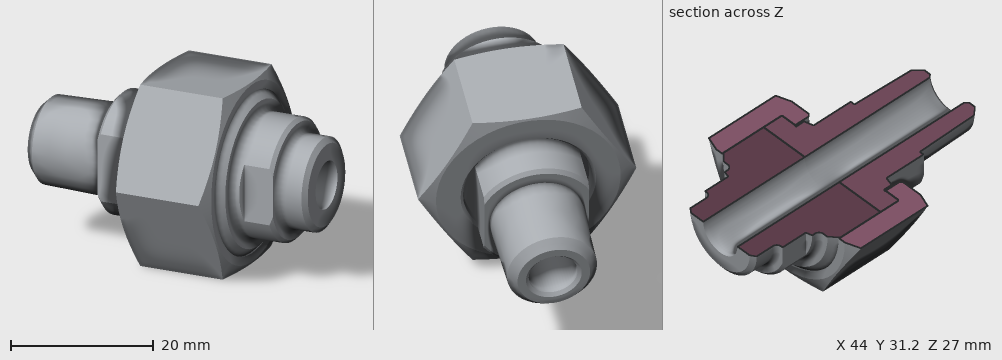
import cadquery as cq
import math


LENGTH = 44.0
BORE_RADIUS = 7.0 / 2
BORE_COUNTERSINK = 0.5
COLLAR_RADIUS = 18.0 / 2
COLLAR_CHAMFER = 0.55
FLAT_WALL_LEAN = 15.0
CUT_MARGIN = 0.45

NUT_START = 17.95
NUT_LENGTH = 14.5
NUT_END = NUT_START + NUT_LENGTH
NUT_ACROSS_FLATS = 27.0
NUT_ACROSS_CORNERS = NUT_ACROSS_FLATS / math.cos(math.radians(30))
NUT_FACE_RADIUS = 13.2
NUT_BEVEL_LENGTH = 0.85
NUT_HOLE_RADIUS = 18.5 / 2
NUT_HOLE_CHAMFER = 0.45
NUT_RECESS_RADIUS = 23.85 / 2
NUT_LIP = 3.1
LIP_END = NUT_START + NUT_LIP

TAPER_START = 1.28
TAPER_END = 11.95
TIP_RADIUS = 10.4 / 2
TAPER_START_RADIUS = 6.42
TAPER_END_RADIUS = 6.75
FLANGE_THICKNESS = 3.5
SEAT = LIP_END + FLANGE_THICKNESS
TAILPIECE_HALF_FLATS = 7.5
TAILPIECE_FLAT_END = 19.1

CONE_END = 33.45
CONE_END_RADIUS = 10.7
CONE_START = CONE_END - (NUT_RECESS_RADIUS - CONE_END_RADIUS)
BODY_COLLAR_END = 39.5
SPIGOT_RADIUS = 13.7 / 2
SHOULDER_FILLET = 0.8
SPIGOT_CHAMFER_LENGTH = 0.55
SPIGOT_CHAMFER_DEPTH = 0.85
BODY_HALF_FLATS = 7.95
BODY_FLAT_START = 35.05


def revolve_about_x(profile):
    """Revolve a closed XY profile, Y being the radius, about the X axis."""
    return profile.close().revolve(360, (0, 0, 0), (1, 0, 0))


def fillet_to_cylinder(profile, shoulder, radius):
    """Continue a profile down a shoulder and along a concave fillet onto a cylinder."""
    chord_offset = SHOULDER_FILLET * (1 - math.sqrt(0.5))
    return (
        profile.lineTo(shoulder, radius + SHOULDER_FILLET)
        .threePointArc(
            (shoulder + chord_offset, radius + chord_offset),
            (shoulder + SHOULDER_FILLET, radius),
        )
    )


def cut_wrench_flats(solid, half_flats, open_end, wall_foot):
    """Cut two flats facing +Y and -Y, from an open end to a wall leaning away from it."""
    top = COLLAR_RADIUS + CUT_MARGIN
    away_from_open_end = math.copysign(1, wall_foot - open_end)
    lean = (top - half_flats) * math.tan(math.radians(FLAT_WALL_LEAN))
    cutter = (
        cq.Workplane("XY")
        .moveTo(open_end, half_flats)
        .lineTo(wall_foot, half_flats)
        .lineTo(wall_foot + away_from_open_end * lean, top)
        .lineTo(open_end, top)
        .close()
        .extrude(COLLAR_RADIUS, both=True)
    )
    return solid.cut(cutter).cut(cutter.mirror("XZ"))


def make_nut():
    hexagon = (
        cq.Workplane("YZ")
        .workplane(offset=NUT_START)
        .polygon(6, NUT_ACROSS_CORNERS)
        .extrude(NUT_LENGTH)
    )
    corner_radius = NUT_ACROSS_CORNERS / 2
    envelope = revolve_about_x(
        cq.Workplane("XY")
        .moveTo(NUT_START, 0)
        .lineTo(NUT_START, NUT_FACE_RADIUS)
        .lineTo(NUT_START + NUT_BEVEL_LENGTH, corner_radius)
        .lineTo(NUT_END - NUT_BEVEL_LENGTH, corner_radius)
        .lineTo(NUT_END, NUT_FACE_RADIUS)
        .lineTo(NUT_END, 0)
    )
    opening = revolve_about_x(
        cq.Workplane("XY")
        .moveTo(NUT_START, 0)
        .lineTo(NUT_START, NUT_HOLE_RADIUS + NUT_HOLE_CHAMFER)
        .lineTo(NUT_START + NUT_HOLE_CHAMFER, NUT_HOLE_RADIUS)
        .lineTo(LIP_END, NUT_HOLE_RADIUS)
        .lineTo(LIP_END, NUT_RECESS_RADIUS)
        .lineTo(NUT_END, NUT_RECESS_RADIUS)
        .lineTo(NUT_END, 0)
    )
    return hexagon.intersect(envelope).cut(opening)


def make_tailpiece():
    tailpiece = revolve_about_x(
        cq.Workplane("XY")
        .moveTo(0, BORE_RADIUS + BORE_COUNTERSINK)
        .lineTo(0, TIP_RADIUS)
        .lineTo(TAPER_START, TAPER_START_RADIUS)
        .lineTo(TAPER_END, TAPER_END_RADIUS)
        .lineTo(TAPER_END, COLLAR_RADIUS - COLLAR_CHAMFER)
        .lineTo(TAPER_END + COLLAR_CHAMFER, COLLAR_RADIUS)
        .lineTo(LIP_END, COLLAR_RADIUS)
        .lineTo(LIP_END, NUT_RECESS_RADIUS)
        .lineTo(SEAT, NUT_RECESS_RADIUS)
        .lineTo(SEAT, BORE_RADIUS)
        .lineTo(BORE_COUNTERSINK, BORE_RADIUS)
    )
    return cut_wrench_flats(tailpiece, TAILPIECE_HALF_FLATS, TAPER_END, TAILPIECE_FLAT_END)


def make_body():
    profile = (
        cq.Workplane("XY")
        .moveTo(SEAT, BORE_RADIUS)
        .lineTo(SEAT, NUT_RECESS_RADIUS)
        .lineTo(CONE_START, NUT_RECESS_RADIUS)
        .lineTo(CONE_END, CONE_END_RADIUS)
    )
    profile = fillet_to_cylinder(profile, CONE_END, COLLAR_RADIUS)
    profile = (
        profile.lineTo(BODY_COLLAR_END - COLLAR_CHAMFER, COLLAR_RADIUS)
        .lineTo(BODY_COLLAR_END, COLLAR_RADIUS - COLLAR_CHAMFER)
    )
    profile = fillet_to_cylinder(profile, BODY_COLLAR_END, SPIGOT_RADIUS)
    body = revolve_about_x(
        profile.lineTo(LENGTH - SPIGOT_CHAMFER_LENGTH, SPIGOT_RADIUS)
        .lineTo(LENGTH, SPIGOT_RADIUS - SPIGOT_CHAMFER_DEPTH)
        .lineTo(LENGTH, BORE_RADIUS)
    )
    return cut_wrench_flats(body, BODY_HALF_FLATS, BODY_COLLAR_END, BODY_FLAT_START)


nut = make_nut()
tailpiece = make_tailpiece()
body = make_body()

result = cq.Compound.makeCompound([nut.val(), tailpiece.val(), body.val()])